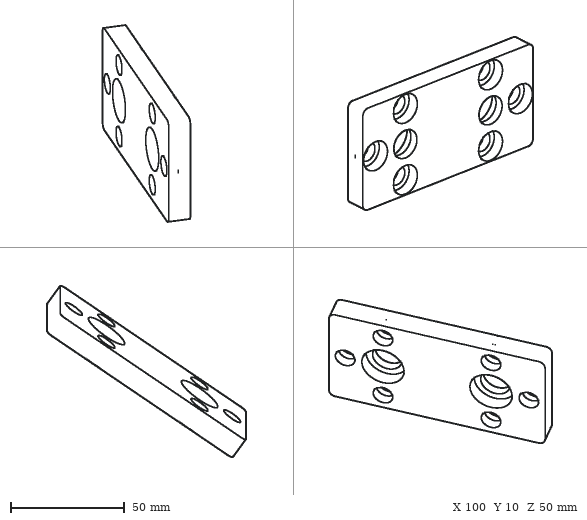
import cadquery as cq

length = 100.0
thickness = 10.0
height = 50.0
corner_radius = 3.0

bore_spacing = length / 2
bore_diameter = 13.5
counterbore_diameter = 19.5
counterbore_depth = 6.0

bolt_diameter = 9.0
bolt_offset = 17.5
bolt_head_diameter = 14.0
bolt_head_depth = 5.5

bore_x = bore_spacing / 2
bore_points = [(-bore_x, 0), (bore_x, 0)]

bolt_points = []
for side in (-1, 1):
    bolt_points.append((side * bore_x, bolt_offset))
    bolt_points.append((side * bore_x, -bolt_offset))
    bolt_points.append((side * (bore_x + bolt_offset), 0))

plate = (
    cq.Workplane("XZ")
    .rect(length, height)
    .extrude(thickness / 2, both=True)
    .edges("|Y")
    .fillet(corner_radius)
)

bored_plate = (
    plate.faces("<Y")
    .workplane(origin=(0, 0, 0))
    .pushPoints(bore_points)
    .cboreHole(bore_diameter, counterbore_diameter, counterbore_depth)
)

result = (
    bored_plate.faces(">Y")
    .workplane(origin=(0, 0, 0))
    .pushPoints(bolt_points)
    .cboreHole(bolt_diameter, bolt_head_diameter, bolt_head_depth)
)